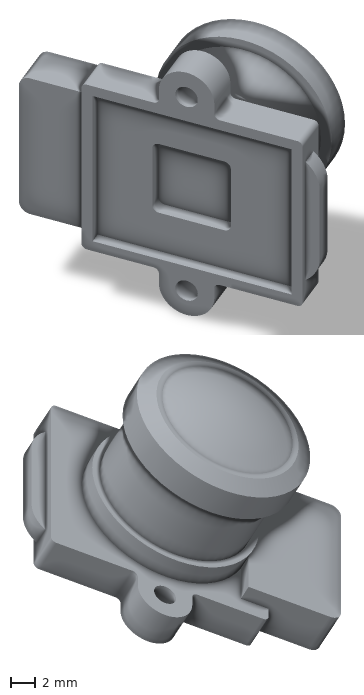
import cadquery as cq
import math


plate_left = -9.53
plate_right = 10.5
plate_height = 17.0
plate_thickness = 3.25
edge_radius = 0.5

ear_radius = 2.5
ear_offset = 10.0
ear_hole_diameter = 2.02

wall = 1.0
recess_depth = 1.0
pocket_size = 7.1
pocket_depth = 1.23
pocket_radius = 0.6

connector_left = -15.5
connector_right = -7.0
connector_height = 14.0
connector_start = 0.7
connector_end = 4.7
connector_radius = 1.0

tab_right = 11.8
tab_height = 13.49
tab_start = 0.6
tab_end = 2.2
tab_radius = 3.22

collar_radius = 7.7
collar_end = 5.25

barrel_radius = 7.02
cap_radius = 8.0
cap_start = 11.52
cap_side_end = 14.2
bevel_end_radius = 6.55
dome_radius = 6.0
dome_start = 14.93
dome_peak = 16.3


def block(left, right, height, start, end):
    """Box between two X and two Y positions, centred on Z = 0."""
    return cq.Workplane("XY").box(
        right - left, end - start, height, centered=(False, False, True)
    ).translate((left, start, 0))


def cylinder(radius, start, end, z=0):
    """Cylinder along Y between two Y positions."""
    return (
        cq.Workplane("XZ", origin=(0, start, z))
        .circle(radius)
        .extrude(start - end)
    )


def make_plate():
    """Plate with rounded corners and an ear blended into its top and bottom."""
    plate = block(plate_left, plate_right, plate_height, 0, plate_thickness)
    stems = block(-ear_radius, ear_radius, 2 * ear_offset, 0, plate_thickness)
    margin = 0.27
    plate_zone = cq.selectors.BoxSelector(
        (plate_left - margin, -margin, -plate_height / 2 - margin),
        (plate_right + margin, plate_thickness + margin, plate_height / 2 + margin),
    )
    plate = plate.union(stems).edges("|Y").edges(plate_zone).fillet(edge_radius)
    for ear_z in (-ear_offset, ear_offset):
        plate = plate.union(cylinder(ear_radius, 0, plate_thickness, ear_z))
        plate = plate.cut(cylinder(ear_hole_diameter / 2, 0, plate_thickness, ear_z))
    return plate


def make_connector():
    connector = block(connector_left, connector_right, connector_height, connector_start, connector_end)
    return connector.edges("|Y and <X").fillet(connector_radius)


def make_tab():
    tab_left = plate_right - wall
    tab = block(0, tab_right, tab_height, tab_start, tab_end)
    tab = tab.edges("|Y and >X").fillet(tab_radius)
    return tab.intersect(block(tab_left, tab_right, tab_height, tab_start, tab_end))


def make_housing():
    housing = make_plate().union(make_connector()).union(make_tab())
    housing = housing.union(cylinder(collar_radius, plate_thickness, collar_end))
    recess = block(
        plate_left + wall, plate_right - wall, plate_height - 2 * wall, 0, recess_depth
    )
    pocket = block(
        -pocket_size / 2, pocket_size / 2, pocket_size, recess_depth, recess_depth + pocket_depth
    )
    pocket = pocket.edges("|Y").fillet(pocket_radius)
    return housing.cut(recess).cut(pocket)


def make_lens():
    """Barrel, bevelled cap and spherical dome, turned about the Y axis."""
    dome_height = dome_peak - dome_start
    sphere_radius = (dome_radius**2 + dome_height**2) / (2 * dome_height)
    mid_radius = dome_radius / 2
    mid_y = dome_peak - sphere_radius + math.sqrt(sphere_radius**2 - mid_radius**2)
    return (
        cq.Workplane("XY")
        .moveTo(0, collar_end)
        .lineTo(barrel_radius, collar_end)
        .lineTo(barrel_radius, cap_start)
        .lineTo(cap_radius, cap_start)
        .lineTo(cap_radius, cap_side_end)
        .lineTo(bevel_end_radius, dome_start)
        .lineTo(dome_radius, dome_start)
        .threePointArc((mid_radius, mid_y), (0, dome_peak))
        .close()
        .revolve(360, (0, 0, 0), (0, 1, 0))
    )


housing = make_housing()
lens = make_lens()
result = cq.Compound.makeCompound([housing.val(), lens.val()])